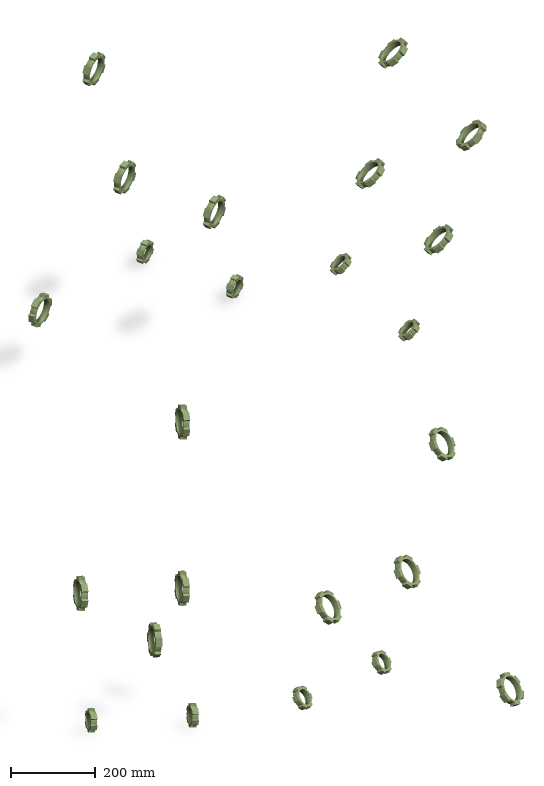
import cadquery as cq

OVERALL_HEIGHT = 739

RING_LENGTH = 15.5
TOOTH_COUNT = 6
TOOTH_PITCH = 360 / TOOTH_COUNT

LARGE_BORE = 60.0
LARGE_BODY = 70.0
LARGE_ACROSS_TEETH = 80.5
LARGE_TOOTH_WIDTH = 21.0

SMALL_BORE = 38.5
SMALL_BODY = 49.0
SMALL_ACROSS_TEETH = 56.0
SMALL_TOOTH_WIDTH = 14.0

PAIR_SPACING = 249.0
SINGLE_RING_X = -27.0
PAIRED_LARGE_Y = -91.5
PAIRED_LARGE_Z = 289.0
UPPER_RING_Y = -185.5
UPPER_RING_Z = OVERALL_HEIGHT - (LARGE_ACROSS_TEETH + SMALL_ACROSS_TEETH) / 2
LOWER_RING_Y = -428.0
LOWER_RING_Z = 105.0

TOOTH_UP = 90
TOOTH_SIDEWAYS = 0


def toothed_ring(face_center, bore, body, across_teeth, tooth_width, first_tooth_angle):
    """Ring along X, with straight-sided teeth around its rim."""
    ring = cq.Workplane("YZ").circle(body / 2).extrude(RING_LENGTH)
    tooth_reach = across_teeth / 2
    tooth = cq.Workplane("XY").box(
        RING_LENGTH, tooth_reach, tooth_width, centered=(False, False, True)
    )
    for index in range(TOOTH_COUNT):
        angle = first_tooth_angle + index * TOOTH_PITCH
        ring = ring.union(tooth.rotate((0, 0, 0), (1, 0, 0), angle))
    hole = cq.Workplane("YZ").circle(bore / 2).extrude(RING_LENGTH)
    return ring.cut(hole).translate(face_center).val()


def large_ring(face_center, first_tooth_angle):
    return toothed_ring(
        face_center, LARGE_BORE, LARGE_BODY, LARGE_ACROSS_TEETH, LARGE_TOOTH_WIDTH, first_tooth_angle
    )


def small_ring(face_center):
    return toothed_ring(
        face_center, SMALL_BORE, SMALL_BODY, SMALL_ACROSS_TEETH, SMALL_TOOTH_WIDTH, TOOTH_UP
    )


small_rings = []
paired_large_rings = []
for x in (0, PAIR_SPACING):
    small_rings.append(small_ring((x, 0, 0)))
    paired_large_rings.append(large_ring((x, PAIRED_LARGE_Y, PAIRED_LARGE_Z), TOOTH_UP))

upper_ring = large_ring((SINGLE_RING_X, UPPER_RING_Y, UPPER_RING_Z), TOOTH_UP)
lower_ring = large_ring((SINGLE_RING_X, LOWER_RING_Y, LOWER_RING_Z), TOOTH_SIDEWAYS)

result = cq.Compound.makeCompound([*small_rings, *paired_large_rings, upper_ring, lower_ring])